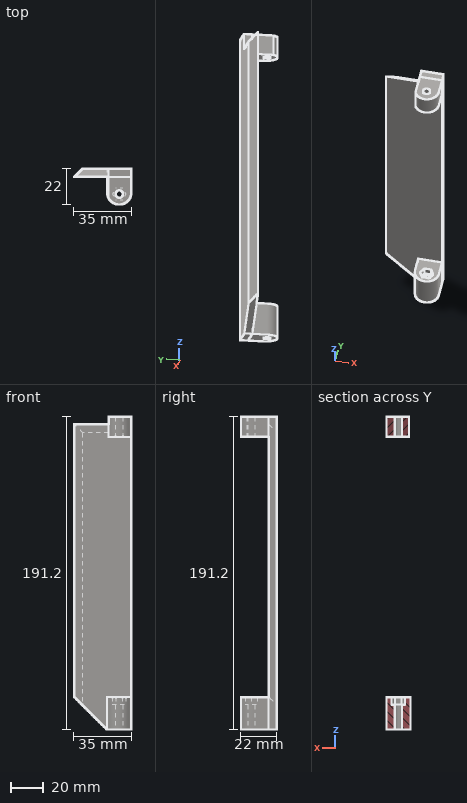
import cadquery as cq
import math

LENGTH = 191.2
WIDTH = 35.0
DEPTH = 22.0

PLATE_THICKNESS = 5.0
PLATE_TOP = 186.6
CUT_CORNER_HEIGHT = 20.0
BEVEL = PLATE_THICKNESS

LUG_WIDTH = 15.0
LUG_RADIUS = LUG_WIDTH / 2
PIVOT_X = -LUG_RADIUS
PIVOT_Y = LUG_RADIUS - DEPTH
LOWER_LUG_HEIGHT = 19.9
UPPER_LUG_HEIGHT = 12.5
UPPER_LUG_WIDTH = 14.0

HOLE_DIAMETER = 4.4
HOLE_Y = -15.5
POCKET_SIDES = 6
POCKET_FLAT_WIDTH = 7.0
POCKET_CORNER_WIDTH = POCKET_FLAT_WIDTH / math.cos(math.pi / POCKET_SIDES)
POCKET_DEPTH = 4.5


def block(x_min, x_max, y_min, y_max, z_min, z_max):
    """Box given by its limits along each axis."""
    size = (x_max - x_min, y_max - y_min, z_max - z_min)
    return cq.Workplane("XY").box(*size, centered=False).translate((x_min, y_min, z_min))


def make_plate():
    """Plate with a sloped lower left corner, two bevelled edges and a tab behind the upper lug."""
    outline = [
        (0, 0),
        (-LUG_WIDTH, 0),
        (-WIDTH, CUT_CORNER_HEIGHT),
        (-WIDTH, PLATE_TOP),
        (-UPPER_LUG_WIDTH, PLATE_TOP),
        (-UPPER_LUG_WIDTH, LENGTH),
        (0, LENGTH),
    ]
    plate = cq.Workplane("XZ").polyline(outline).close().extrude(PLATE_THICKNESS)
    left_bevel = (
        cq.Workplane("XY")
        .polyline([(-WIDTH, 0), (-WIDTH + BEVEL, 0), (-WIDTH, -PLATE_THICKNESS)])
        .close()
        .extrude(LENGTH)
    )
    top_bevel = (
        cq.Workplane("YZ", origin=(-WIDTH, 0, 0))
        .polyline([(0, PLATE_TOP), (0, PLATE_TOP - BEVEL), (-PLATE_THICKNESS, PLATE_TOP)])
        .close()
        .extrude(WIDTH - UPPER_LUG_WIDTH)
    )
    return plate.cut(left_bevel).cut(top_bevel)


def make_lug(z_min, height):
    """Block with a half-round front end and a pivot hole through it."""
    lug = (
        cq.Workplane("XY", origin=(0, 0, z_min))
        .moveTo(0, -PLATE_THICKNESS)
        .lineTo(0, PIVOT_Y)
        .threePointArc((PIVOT_X, -DEPTH), (-LUG_WIDTH, PIVOT_Y))
        .lineTo(-LUG_WIDTH, -PLATE_THICKNESS)
        .close()
        .extrude(height)
    )
    hole = cq.Workplane("XY", origin=(PIVOT_X, HOLE_Y, z_min)).circle(HOLE_DIAMETER / 2).extrude(height)
    return lug.cut(hole)


def make_nut_pocket():
    """Hexagonal recess in the top of the lower lug, with two corners along X."""
    floor = cq.Workplane("XY", origin=(PIVOT_X, HOLE_Y, LOWER_LUG_HEIGHT - POCKET_DEPTH))
    return floor.polygon(POCKET_SIDES, POCKET_CORNER_WIDTH).extrude(POCKET_DEPTH)


plate = make_plate()
lower_lug = make_lug(0, LOWER_LUG_HEIGHT).cut(make_nut_pocket())
upper_lug = make_lug(LENGTH - UPPER_LUG_HEIGHT, UPPER_LUG_HEIGHT).intersect(
    block(-UPPER_LUG_WIDTH, 0, -DEPTH, 0, 0, LENGTH)
)
result = cq.Compound.makeCompound([plate.val(), lower_lug.val(), upper_lug.val()])